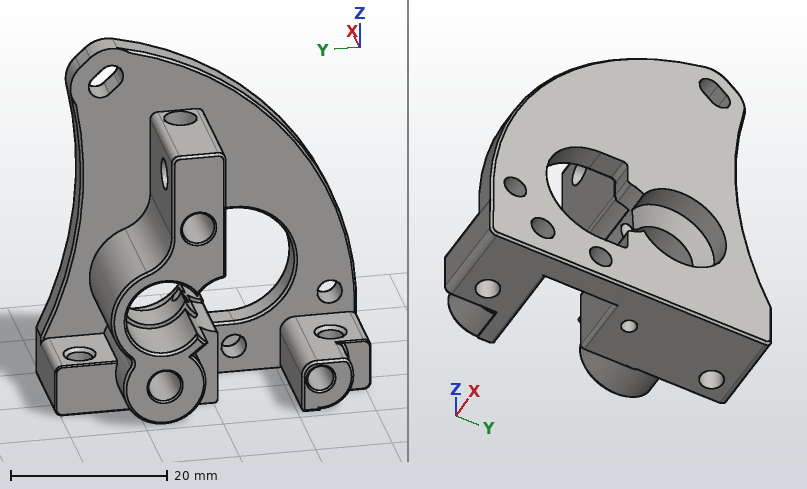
import cadquery as cq
import math


depth = 17.5
width = 41.35
plate_thickness = 3.55
plate_x = depth - plate_thickness
edge_chamfer = 0.35
corner_radius = 1.0

base_height = 7.05
outer_arc_start_z = 6.15
slot_low = (33.55, 42.05)
slot_high = (32.25, 43.2)
slot_diameter = 3.2
tip_radius = 4.0
outer_arc_center = (39.95, 8.1)
inner_arc_center = (87.7, 29.75)

motor_center_y = 16.15
motor_radius = 8.0
plate_lip_fillet = 0.65
plate_hole_diameter = 3.2
plate_holes = [(3.6, 10.1), (16.15, 3.6)]

gear_y = 28.05
gear_z = 15.0
gear_spacing = 8.5
idler_y = gear_y - gear_spacing
bore_radius = 5.0
rib_radius = 4.5
rib_x = 7.9
rib_end_angle = 54.0
cone_x = 12.35
seat_radius = 6.5
seat_x = cone_x + seat_radius - rib_radius

wall_radius = 7.0
block_y_min = 20.05
block_y_max = 27.1
block_top_z = 37.7
block_blend_radius = 5.0
step_x = 5.2
boss_radius = 5.4
boss_z = boss_radius
neck_fillet = 1.0
bore_lip_fillet = 0.4
bottom_fillet = 0.5
lip_reach = 0.15
relief_start = (21.7, 11.52)
relief_end = (24.8, 8.97)
relief_low = (21.7, 2.35)

screw_diameter = 4.2
screw_chamfer = 0.25
boss_screw_depth = 11.35
drill_point_angle = 118.0
clamp_screw_z = 27.3
cross_hole_diameter = 4.0
cross_hole_x = 5.0
cross_hole_z = 33.1
filament_x = 11.52
filament_y = 23.65
filament_diameter = 2.1
tube_bottom_z = 22.65

foot_width = 10.1
foot_inner_radius = 2.0
foot_boss_radius = 4.35
foot_hole_y = 7.65
foot_hole_z = 4.55
foot_hole_diameter = 3.4
foot_hole_chamfer = 0.25
foot_root_chamfer = 0.4
block_chamfer = 0.2
base_hole_x = 8.45
base_hole_diameter = 3.2
base_hole_chamfer = 0.45
base_hole_ys = [4.65, 37.5]


def yz_plane(x):
    """Sketch plane at the given X; local axes are Y and Z."""
    return cq.Workplane("YZ", origin=(x, 0, 0))


def cylinder(x_start, x_end, y, z, radius):
    return yz_plane(x_start).center(y, z).circle(radius).extrude(x_end - x_start)


def box(x_range, y_range, z_range):
    sizes = [high - low for low, high in (x_range, y_range, z_range)]
    corner = (x_range[0], y_range[0], z_range[0])
    return cq.Workplane("XY").box(*sizes, centered=False).translate(corner)


def drill_tip(radius):
    """Length of the conical bottom of a drilled hole."""
    return radius / math.tan(math.radians(drill_point_angle / 2))


def chamfered_hole(entry, direction, length, radius, chamfer):
    """Cutter for a round hole with a chamfered mouth at its entry point."""
    start = cq.Vector(*entry)
    axis = cq.Vector(*direction)
    shaft = cq.Solid.makeCylinder(radius, length, start, axis)
    mouth = cq.Solid.makeCone(radius + chamfer, radius, chamfer, start, axis)
    return cq.Workplane("XY").newObject([shaft.fuse(mouth)])


def polar(center, radius, angle):
    return (center[0] + radius * math.cos(angle), center[1] + radius * math.sin(angle))


def bearing(start, end):
    return math.atan2(end[1] - start[1], end[0] - start[0])


def arc_points(center, start, end):
    """Middle and end point of the shorter arc from start to end."""
    mean = ((start[0] + end[0]) / 2, (start[1] + end[1]) / 2)
    return polar(center, math.dist(center, start), bearing(center, mean)), end


def make_sail():
    """Plain sail-shaped plate: a convex edge, a rounded tip and a concave edge."""
    outer_radius = math.dist(outer_arc_center, slot_high) + tip_radius
    inner_radius = math.dist(inner_arc_center, slot_low) - tip_radius
    outer_drop = outer_arc_center[1] - outer_arc_start_z
    outer_start_y = outer_arc_center[0] - math.sqrt(outer_radius**2 - outer_drop**2)
    inner_rise = math.sqrt(inner_radius**2 - (inner_arc_center[0] - width) ** 2)
    outer_start = (outer_start_y, outer_arc_start_z)
    inner_end = (width, inner_arc_center[1] - inner_rise)

    tip_normal = bearing(slot_high, slot_low) + math.pi / 2
    tip_high_start = polar(slot_high, tip_radius, bearing(outer_arc_center, slot_high))
    tip_high_end = polar(slot_high, tip_radius, tip_normal)
    tip_low_start = polar(slot_low, tip_radius, tip_normal)
    tip_low_end = polar(slot_low, tip_radius, bearing(slot_low, inner_arc_center))

    return (
        yz_plane(plate_x)
        .lineTo(*outer_start)
        .threePointArc(*arc_points(outer_arc_center, outer_start, tip_high_start))
        .threePointArc(*arc_points(slot_high, tip_high_start, tip_high_end))
        .lineTo(*tip_low_start)
        .threePointArc(*arc_points(slot_low, tip_low_start, tip_low_end))
        .threePointArc(*arc_points(inner_arc_center, tip_low_end, inner_end))
        .lineTo(width, 0)
        .close()
        .extrude(plate_thickness)
    )


def tip_slot(slot_width, length):
    """Slot shape around the two tip centers, extruded from the front of the plate."""
    angle = math.degrees(bearing(slot_low, slot_high))
    return (
        yz_plane(plate_x)
        .center((slot_low[0] + slot_high[0]) / 2, (slot_low[1] + slot_high[1]) / 2)
        .slot2D(math.dist(slot_low, slot_high) + slot_width, slot_width, angle)
        .extrude(length)
    )


def round_lips(part, radius, lip_radius):
    """Round the edges where an idler bore of this radius breaks out of the flat block side."""
    rise = math.sqrt(radius**2 - (idler_y - block_y_min) ** 2)
    for z in (gear_z - rise, gear_z + rise):
        near_lip = cq.selectors.BoxSelector(
            (-0.45, block_y_min - lip_reach, z - lip_reach),
            (depth, block_y_min + lip_reach, z + lip_reach),
        )
        lips = part.edges("|X").edges(near_lip)
        if lips.size():
            part = lips.fillet(lip_radius)
    return part


def make_plate():
    """Sail plate with the motor opening, chamfered on both faces."""
    plate = make_sail()
    plate = plate.edges("|X and <Z").fillet(corner_radius)
    plate = plate.faces(">X").edges().chamfer(edge_chamfer)
    opening_z = (gear_z - motor_radius, gear_z + motor_radius)
    square_side = box((plate_x, depth), (motor_center_y, block_y_min), opening_z)
    square_side = square_side.edges("|X and >Y").fillet(plate_lip_fillet)
    round_side = cylinder(plate_x, depth, motor_center_y, gear_z, motor_radius)
    round_side = round_side.intersect(box((plate_x, depth), (0, motor_center_y), opening_z))
    plate = plate.cut(square_side.union(round_side))
    plate = plate.faces("<X").edges().chamfer(edge_chamfer)

    tip = tip_slot(2 * tip_radius, edge_chamfer)
    bottom = box((plate_x, depth - edge_chamfer), (foot_width / 2, gear_y), (0, edge_chamfer))
    plate = plate.union(tip).union(bottom)
    plate = plate.cut(cylinder(plate_x, depth, idler_y, gear_z, rib_radius))
    return round_lips(plate, rib_radius, plate_lip_fillet)


def make_gear_body():
    """Wall around the gear bore, screw boss below it and clamp block above it."""
    wall = cylinder(0, plate_x, gear_y, gear_z, wall_radius)
    boss = cylinder(0, plate_x, gear_y, boss_z, boss_radius)
    block = box((0, plate_x), (block_y_min, block_y_max), (gear_z, block_top_z))
    block = block.edges("|X and >Z").fillet(corner_radius)
    relief = yz_plane(0).polyline([relief_start, relief_end, relief_low]).close().extrude(plate_x)
    body = wall.cut(relief).union(boss).union(block)

    wall_reach = wall_radius + neck_fillet
    boss_reach = boss_radius + neck_fillet
    rise = gear_z - boss_z
    neck_drop = (wall_reach**2 - boss_reach**2 + rise**2) / (2 * rise)
    neck_y = gear_y + math.sqrt(wall_reach**2 - neck_drop**2)
    neck_z = gear_z - neck_drop
    neck = (
        yz_plane(0)
        .polyline([(gear_y, gear_z), (gear_y, boss_z), (neck_y, neck_z)])
        .close()
        .extrude(plate_x)
        .cut(cylinder(0, plate_x, neck_y, neck_z, neck_fillet))
    )

    blend_y = block_y_max + block_blend_radius
    blend_z = gear_z + math.sqrt((wall_radius + block_blend_radius) ** 2 - (blend_y - gear_y) ** 2)
    blend = (
        yz_plane(0)
        .polyline([(gear_y, gear_z), (blend_y, blend_z), (block_y_max, blend_z), (block_y_min, gear_z)])
        .close()
        .extrude(plate_x)
        .cut(cylinder(0, plate_x, blend_y, blend_z, block_blend_radius))
    )
    body = body.union(neck).union(blend).clean()

    body = body.cut(cylinder(0, plate_x, gear_y, gear_z, bore_radius))
    body = body.cut(cylinder(0, plate_x, idler_y, gear_z, bore_radius))
    body = round_lips(body, bore_radius, bore_lip_fillet)
    return body.faces("<X").edges().chamfer(edge_chamfer)


def make_ribs():
    """Fill behind the wide bores; the narrow bores cut through it later leave the ribs."""
    gear_fill = cylinder(rib_x, plate_x, gear_y, gear_z, bore_radius)
    idler_fill = cylinder(rib_x, plate_x, idler_y, gear_z, bore_radius)
    angle = math.radians(rib_end_angle)
    reach = 2 * bore_radius
    center = (idler_y, gear_z)
    outline = [center, polar(center, reach, -angle), polar(center, reach, angle)]
    sector = yz_plane(rib_x).polyline(outline).close().extrude(plate_x - rib_x)
    return gear_fill.union(idler_fill.intersect(sector))


def make_base():
    """Block joining the boss to the base, and the low bar out to the plate corner."""
    embed_x = depth - edge_chamfer
    bar = box((step_x, embed_x), (gear_y, width), (0, base_height))
    bar = bar.edges("|X and >Y").fillet(corner_radius)
    bar = bar.faces("<X").edges(">Y or >Z").chamfer(block_chamfer)
    support = box((step_x, plate_x + edge_chamfer), (block_y_min, gear_y), (0, gear_z))
    support = support.edges("|X and <Y and <Z").fillet(bottom_fillet)
    support = support.cut(cylinder(0, depth, gear_y, gear_z, bore_radius))
    support = support.cut(cylinder(0, depth, idler_y, gear_z, bore_radius))
    support = round_lips(support, bore_radius, bore_lip_fillet)
    return bar.union(support)


def make_foot():
    """Block at the plate corner with a round-sided boss in front of it."""
    embed_x = depth - edge_chamfer
    block = box((0, embed_x), (0, foot_width), (0, base_height))
    block = block.edges("|X and >Y and >Z").fillet(foot_inner_radius)
    block = block.edges("|X and <Y").fillet(corner_radius)
    block = block.edges("|X and >Y and <Z").fillet(bottom_fillet)
    rear = block.intersect(box((step_x, depth), (0, foot_width), (0, base_height)))
    rear = rear.faces("<X").edges().chamfer(block_chamfer)

    round_side = cylinder(0, step_x + 0.45, foot_hole_y, foot_hole_z, foot_boss_radius)
    inner_side = box((0, step_x + 0.45), (foot_hole_y, foot_width), (0, base_height))
    boss = block.intersect(round_side.union(inner_side))
    top_rise = base_height - foot_hole_z
    crest_y = foot_hole_y - math.sqrt(foot_boss_radius**2 - top_rise**2)
    crest = cq.selectors.BoxSelector(
        (-0.45, crest_y - 0.45, base_height - 0.45),
        (depth, crest_y + 0.45, base_height + 0.45),
    )
    boss = boss.edges("|X").edges(crest).fillet(corner_radius)
    boss = boss.faces("<X").edges().chamfer(edge_chamfer)

    flare = cq.Workplane("XY").newObject([
        cq.Solid.makeCone(
            foot_boss_radius,
            foot_boss_radius + foot_root_chamfer,
            foot_root_chamfer,
            cq.Vector(step_x - foot_root_chamfer, foot_hole_y, foot_hole_z),
            cq.Vector(1, 0, 0),
        )
    ])
    return rear.union(boss).union(flare.intersect(block))


def cut_bores(part):
    """Narrow bores through the part, with the seat behind the gear bore."""
    part = part.cut(cylinder(0, depth, gear_y, gear_z, rib_radius))
    part = part.cut(cylinder(0, depth, idler_y, gear_z, rib_radius))

    axis = cq.Vector(1, 0, 0)
    cone_start = cq.Vector(cone_x, gear_y, gear_z)
    part = part.cut(cq.Solid.makeCone(rib_radius, seat_radius, seat_x - cone_x, cone_start, axis))
    return part.cut(cylinder(seat_x, depth, gear_y, gear_z, seat_radius))


def cut_plate_holes(part):
    for y, z in plate_holes:
        part = part.cut(cylinder(plate_x, depth, y, z, plate_hole_diameter / 2))
    return part.cut(tip_slot(slot_diameter, plate_thickness))


def cut_screw_holes(part):
    along_x = (1, 0, 0)
    radius = screw_diameter / 2
    boss_entry = (0, gear_y, boss_z)
    part = part.cut(chamfered_hole(boss_entry, along_x, boss_screw_depth, radius, screw_chamfer))
    tip_start = cq.Vector(boss_screw_depth, gear_y, boss_z)
    part = part.cut(cq.Solid.makeCone(radius, 0, drill_tip(radius), tip_start, cq.Vector(*along_x)))
    clamp_entry = (0, filament_y, clamp_screw_z)
    part = part.cut(chamfered_hole(clamp_entry, along_x, filament_x, radius, screw_chamfer))
    foot_entry = (0, foot_hole_y, foot_hole_z)
    foot_radius = foot_hole_diameter / 2
    part = part.cut(chamfered_hole(foot_entry, along_x, depth, foot_radius, foot_hole_chamfer))
    for y in base_hole_ys:
        entry = (base_hole_x, y, base_height)
        base_radius = base_hole_diameter / 2
        part = part.cut(chamfered_hole(entry, (0, 0, -1), base_height, base_radius, base_hole_chamfer))
    return part


def cut_block_holes(part):
    """Cross hole through the clamp block and the vertical filament path."""
    cross_hole = (
        cq.Workplane("XZ", origin=(cross_hole_x, block_y_max, cross_hole_z))
        .circle(cross_hole_diameter / 2)
        .extrude(block_y_max - block_y_min)
    )
    tube_radius = screw_diameter / 2
    down = cq.Vector(0, 0, -1)
    tube_top = cq.Vector(filament_x, filament_y, block_top_z)
    tube = cq.Solid.makeCylinder(tube_radius, block_top_z - tube_bottom_z, tube_top, down)
    tip_start = cq.Vector(filament_x, filament_y, tube_bottom_z)
    tip = cq.Solid.makeCone(tube_radius, 0, drill_tip(tube_radius), tip_start, down)
    filament = (
        cq.Workplane("XY")
        .center(filament_x, filament_y)
        .circle(filament_diameter / 2)
        .extrude(block_top_z)
    )
    return part.cut(cross_hole).cut(tube).cut(tip).cut(filament)


result = make_plate().union(make_gear_body()).union(make_base()).union(make_foot())
result = result.union(make_ribs())
result = cut_bores(result)
result = cut_plate_holes(result)
result = cut_screw_holes(result)
result = cut_block_holes(result)